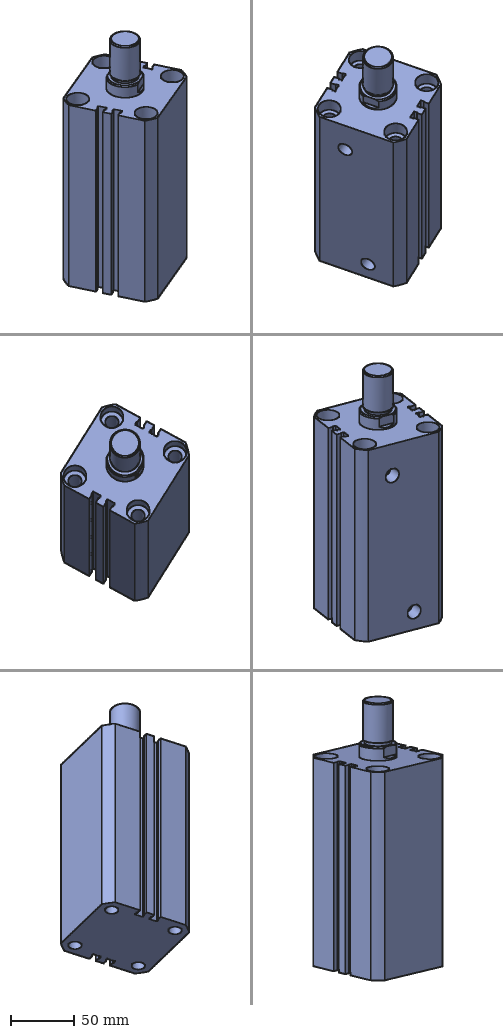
import cadquery as cq
import math


total_height = 216.0
housing_width = 80.0
housing_height = 170.0
corner_flat = 32.2
half_width = housing_width / 2
corner_radius = math.hypot(half_width, corner_flat)

slot_offset = 6.5
slot_mouth_width = 5.8
slot_inner_width = 7.1
slot_mouth_depth = 4.5
slot_depth = 7.1

mount_offset = 29.0
mount_hole_diameter = 10.5
counterbore_diameter = 18.1
counterbore_depth = 11.2

port_offset = 10.0
port_mouth_diameter = 12.0
port_bottom_diameter = 10.8
port_depth = 12.0
port_drop = 28.0
upper_port_height = housing_height - port_drop
lower_port_height = 16.0

collar_diameter = 30.0
collar_height = 11.0
collar_chamfer = 1.0
flat_distance = 26.8
flat_bottom = 2.8
neck_diameter = 22.0
neck_height = 2.5
thread_diameter = 24.0
thread_chamfer = 1.0


def slot_cutter(offset):
    """T-shaped slot through the full height of the -Y side, centred at x = offset."""
    def box(width, depth):
        center_y = -half_width + depth / 2
        return cq.Workplane("XY").center(offset, center_y).rect(width, depth).extrude(housing_height)

    inner = box(slot_inner_width, slot_depth).cut(box(slot_inner_width, slot_mouth_depth))
    return inner.union(box(slot_mouth_width, slot_depth))


def port_cutter(y, z):
    """Blind tapered hole going inward from the -X side."""
    return cq.Workplane(
        cq.Solid.makeCone(
            port_mouth_diameter / 2,
            port_bottom_diameter / 2,
            port_depth,
            pnt=cq.Vector(-half_width, y, z),
            dir=cq.Vector(1, 0, 0),
        )
    )


def make_housing():
    block = cq.Workplane("XY").rect(housing_width, housing_width).extrude(housing_height)
    corner_cylinder = cq.Workplane("XY").circle(corner_radius).extrude(housing_height)
    housing = block.intersect(corner_cylinder)

    for offset in (-slot_offset, slot_offset):
        slot = slot_cutter(offset)
        housing = housing.cut(slot).cut(slot.mirror("XZ"))

    housing = (
        housing.faces(">Z").workplane(origin=(0, 0, housing_height))
        .rect(2 * mount_offset, 2 * mount_offset, forConstruction=True).vertices()
        .cboreHole(mount_hole_diameter, counterbore_diameter, counterbore_depth)
    )

    housing = housing.cut(port_cutter(port_offset, upper_port_height))
    return housing.cut(port_cutter(-port_offset, lower_port_height))


def flat_cutter():
    """Prism that cuts the -X wrench flat, with a 45 degree run-out below it."""
    flat_x = -flat_distance / 2
    outer_x = -collar_diameter / 2
    bottom_z = housing_height + flat_bottom
    top_z = housing_height + collar_height
    outline = [
        (flat_x, top_z),
        (flat_x, bottom_z),
        (outer_x, bottom_z - (flat_x - outer_x)),
        (outer_x, top_z),
    ]
    return cq.Workplane("XZ").polyline(outline).close().extrude(collar_diameter / 2, both=True)


def make_rod():
    """Rod standing on the housing top: collar with wrench flats, neck and threaded end."""
    collar_top = housing_height + collar_height
    thread_bottom = collar_top + neck_height

    collar = (
        cq.Workplane("XY", origin=(0, 0, housing_height))
        .circle(collar_diameter / 2).extrude(collar_height)
        .faces(">Z").chamfer(collar_chamfer)
    )
    flat = flat_cutter()
    collar = collar.cut(flat).cut(flat.mirror("YZ"))

    neck = cq.Workplane("XY", origin=(0, 0, collar_top)).circle(neck_diameter / 2).extrude(neck_height)
    threaded_end = (
        cq.Workplane("XY", origin=(0, 0, thread_bottom))
        .circle(thread_diameter / 2).extrude(total_height - thread_bottom)
        .faces(">Z").chamfer(thread_chamfer)
    )
    return collar.union(neck).union(threaded_end)


housing = make_housing()
rod = make_rod()

result = cq.Compound.makeCompound([housing.val(), rod.val()])